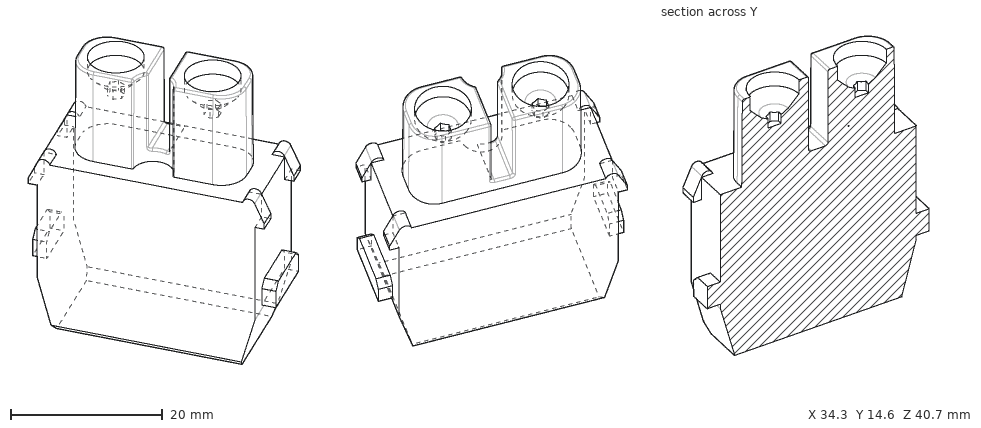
import cadquery as cq
import math

HEIGHT = 40.65
BLOCK_WIDTH = 30.35
BLOCK_DEPTH = 14.6
BLOCK_TOP = 26.65
TAPER_TOP = 8.4
BOTTOM_WIDTH = 25.85
BOTTOM_CHAMFER = 1.3

HOOK_SPAN = 32.93
HOOK_BASE = 23.1
HOOK_WIDTH = 2.65
HOOK_CREST_RADIUS = 0.9
HOOK_CREST_X = 14.3
HOOK_CREST_Z = 26.45
HOOK_SLOPE = 24.8

TAB_SPAN = 34.3
TAB_BASE = 9.02
TAB_TOP = 12.65
TAB_CHAMFER = 1.0
NARROW_TAB_WIDTH = 6.9
WIDE_TAB_WIDTH = 9.1

TOWER_LENGTH = 23.75
TOWER_DEPTH = 9.23
TOWER_CORNER = 3.55
TOWER_DRAFT = 0.4
RIM_FILLET = 0.33
SCOOP_EDGE_FILLET = 0.25
SLOT_FILLET = 0.4
SLOT_WIDTH = 2.95
SLOT_FLOOR = 28.58
SCOOP_RADIUS = 2.75

BORE_PITCH = 13.5
BORE_RADIUS = 3.75
BORE_DEPTH = 2.25
FUNNEL_RADIUS = 2.07
FUNNEL_DEPTH = 1.7
SEAT_RADIUS = 0.95
SEAT_DEPTH = 0.65
HEX_CORNERS = 2.28
HEX_DEPTH = 2.05


def make_block():
    half_width = BLOCK_WIDTH / 2
    half_bottom = BOTTOM_WIDTH / 2
    outline = [
        (-half_bottom, 0),
        (half_bottom, 0),
        (half_width, TAPER_TOP),
        (half_width, BLOCK_TOP),
        (-half_width, BLOCK_TOP),
        (-half_width, TAPER_TOP),
    ]
    block = cq.Workplane("XZ").polyline(outline).close().extrude(BLOCK_DEPTH / 2, both=True)
    return block.faces("<Z").edges("|X").chamfer(BOTTOM_CHAMFER)


def make_hooks():
    slope = math.radians(HOOK_SLOPE)
    tangent_x = HOOK_CREST_X + HOOK_CREST_RADIUS * math.cos(slope)
    tangent_z = HOOK_CREST_Z + HOOK_CREST_RADIUS * math.sin(slope)
    tip_x = HOOK_SPAN / 2
    tip_z = tangent_z - (tip_x - tangent_x) / math.tan(slope)
    inner_x = HOOK_CREST_X - HOOK_CREST_RADIUS

    hook = (
        cq.Workplane("XZ", origin=(0, BLOCK_DEPTH / 2, 0))
        .moveTo(inner_x, HOOK_BASE)
        .lineTo(tip_x, HOOK_BASE)
        .lineTo(tip_x, tip_z)
        .lineTo(tangent_x, tangent_z)
        .threePointArc((HOOK_CREST_X, HOOK_CREST_Z + HOOK_CREST_RADIUS), (inner_x, HOOK_CREST_Z))
        .close()
        .extrude(HOOK_WIDTH)
    )
    end_pair = hook.union(hook.mirror("XZ"))
    return end_pair.union(end_pair.mirror("YZ"))


def make_tab(side, width):
    length = TAB_SPAN / 2
    height = TAB_TOP - TAB_BASE
    tab = cq.Workplane("XY").box(length, width, height).edges("|X and >Z").chamfer(TAB_CHAMFER)
    return tab.translate((side * length / 2, 0, TAB_BASE + height / 2))


def make_tower():
    tower_height = HEIGHT - BLOCK_TOP
    tower = (
        cq.Workplane("XY", origin=(0, 0, BLOCK_TOP))
        .sketch()
        .rect(TOWER_LENGTH, TOWER_DEPTH)
        .vertices()
        .fillet(TOWER_CORNER)
        .finalize()
        .extrude(tower_height, taper=TOWER_DRAFT)
    )
    slot = cq.Workplane("XY", origin=(0, 0, SLOT_FLOOR)).box(
        SLOT_WIDTH, 2 * TOWER_DEPTH, HEIGHT, centered=(True, True, False)
    )
    slot = slot.faces("<Z").edges("|Y").fillet(SLOT_FILLET)
    front_y = -TOWER_DEPTH / 2
    scoop = (
        cq.Workplane("XY", origin=(0, front_y, BLOCK_TOP))
        .circle(SCOOP_RADIUS)
        .extrude(tower_height)
    )
    tower = tower.cut(scoop)

    scoop_edges = cq.selectors.BoxSelector(
        (-SCOOP_RADIUS - SCOOP_EDGE_FILLET, front_y - SCOOP_EDGE_FILLET, BLOCK_TOP),
        (SCOOP_RADIUS + SCOOP_EDGE_FILLET, front_y + SCOOP_EDGE_FILLET, HEIGHT),
    )
    tower = tower.edges(scoop_edges).edges("not #Z").fillet(SCOOP_EDGE_FILLET)

    tower = tower.cut(slot)
    return tower.faces("+Z").edges().fillet(RIM_FILLET)


def make_bore(x):
    funnel_z = HEIGHT - BORE_DEPTH
    seat_z = funnel_z - FUNNEL_DEPTH
    socket_z = seat_z - SEAT_DEPTH
    bore = (
        cq.Workplane("XZ")
        .polyline([
            (0, HEIGHT),
            (BORE_RADIUS, HEIGHT),
            (BORE_RADIUS, funnel_z),
            (FUNNEL_RADIUS, seat_z),
            (SEAT_RADIUS, socket_z),
            (0, socket_z),
        ])
        .close()
        .revolve(360, (0, 0), (0, 1))
    )
    socket = (
        cq.Workplane("XY", origin=(0, 0, seat_z))
        .transformed(rotate=(0, 0, 90))
        .polygon(6, HEX_CORNERS)
        .extrude(-HEX_DEPTH)
    )
    return bore.union(socket).translate((x, 0, 0))


result = make_block().union(make_hooks())
result = result.union(make_tab(-1, NARROW_TAB_WIDTH)).union(make_tab(1, WIDE_TAB_WIDTH))
result = result.union(make_tower())
for bore_x in (-BORE_PITCH / 2, BORE_PITCH / 2):
    result = result.cut(make_bore(bore_x))